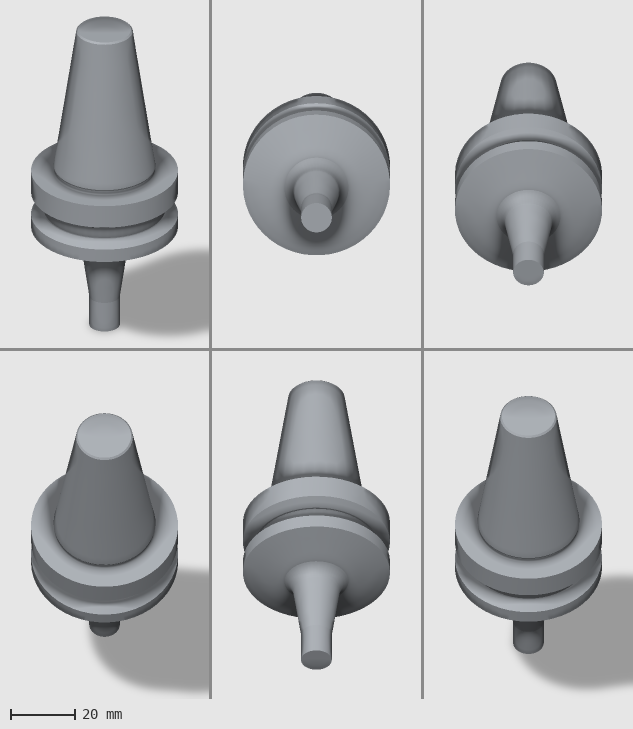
import cadquery as cq
import math

total_length = 105.4

taper_length = 48.6
gauge_diameter = 31.8
taper_ratio = 7 / 24
tip_chamfer = 0.5

neck_diameter = 31.3
neck_length = 1.8
undercut_bevel_height = 0.5
neck_fillet = 0.5

flange_diameter = 46.0
groove_diameter = 38.0
upper_rim_height = 7.7
lower_rim_height = 4.4
groove_floor_height = 3.9
groove_ledge_width = 0.5
groove_wall_angle = 30.0

underside_height = 3.5
underside_angle = 15.0
blend_height = 4.1
nose_root_diameter = 14.5
nose_diameter = 9.6
nose_cylinder_length = 10.2

gauge_radius = gauge_diameter / 2
neck_radius = neck_diameter / 2
flange_radius = flange_diameter / 2
groove_radius = groove_diameter / 2
nose_radius = nose_diameter / 2
nose_root_radius = nose_root_diameter / 2
ledge_radius = groove_radius + groove_ledge_width
underside_end_radius = flange_radius - underside_height / math.tan(math.radians(underside_angle))
tip_radius = gauge_radius - taper_length * taper_ratio / 2

gauge_z = total_length - taper_length
flange_top_z = gauge_z - neck_length
groove_wall_height = (flange_radius - ledge_radius) * math.tan(math.radians(groove_wall_angle))
upper_rim_z = flange_top_z - upper_rim_height
groove_top_z = upper_rim_z - groove_wall_height
groove_bottom_z = groove_top_z - groove_floor_height
lower_rim_z = groove_bottom_z - groove_wall_height
flange_bottom_z = lower_rim_z - lower_rim_height
underside_end_z = flange_bottom_z - underside_height
nose_root_z = underside_end_z - blend_height

half_section = (
    cq.Workplane("XZ")
    .moveTo(0, 0)
    .lineTo(nose_radius, 0)
    .lineTo(nose_radius, nose_cylinder_length)
    .lineTo(nose_root_radius, nose_root_z)
    .tangentArcPoint((underside_end_radius, underside_end_z), relative=False)
    .lineTo(flange_radius, flange_bottom_z)
    .lineTo(flange_radius, lower_rim_z)
    .lineTo(ledge_radius, groove_bottom_z)
    .lineTo(groove_radius, groove_bottom_z)
    .lineTo(groove_radius, groove_top_z)
    .lineTo(ledge_radius, groove_top_z)
    .lineTo(flange_radius, upper_rim_z)
    .lineTo(flange_radius, flange_top_z)
    .lineTo(neck_radius + neck_fillet, flange_top_z)
    .radiusArc((neck_radius, flange_top_z + neck_fillet), neck_fillet)
    .lineTo(neck_radius, gauge_z - undercut_bevel_height)
    .lineTo(gauge_radius, gauge_z)
    .lineTo(tip_radius, total_length - tip_chamfer)
    .lineTo(tip_radius - tip_chamfer, total_length)
    .lineTo(0, total_length)
    .close()
)
result = half_section.revolve(360, (0, 0, 0), (0, 1, 0))